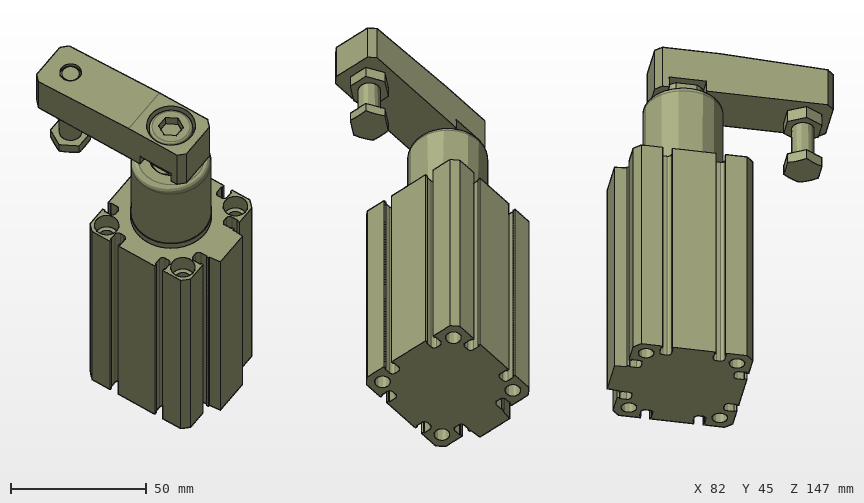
import cadquery as cq
import math


body_width = 45.0
body_height = 91.5
body_corner_diameter = 60.0
port_rib_end = 27.0
port_rib_root_width = 15.3
port_rib_tip_width = 14.4
slot_offset = 10.0
slot_width = 4.4
slot_mouth = 3.5
slot_lip = 1.0
slot_depth = 5.1
slot_corner = 1.5
mount_pitch = 34.1
mount_hole = 5.7
mount_bore = 9.0
mount_bore_depth = 7.0
collar_diameter = 30.0
collar_top = 94.2
cover_diameter = 29.5
cover_top = 127.0
cover_round = 2.5

arm_top = 147.0
arm_tip = -55.0
arm_heel = 12.0
arm_width = 20.0
arm_thickness = 18.0
arm_tip_drop = 1.9
arm_slope_start = -12.0
arm_chamfer = 2.5
seat_depth = 4.5
screw_bore = 18.0
screw_bore_depth = 10.6
screw_clearance = 10.5

rod_diameter = 16.0
rod_flats = 14.0
rod_flat_runout = (rod_diameter - rod_flats) / 2
screw_head = 16.0
screw_head_height = 10.0
screw_head_round = 1.0
screw_shank = 10.0
screw_socket = 8.0
screw_socket_depth = 3.8

bolt_x = -45.0
bolt_shank = 8.4
bolt_thread = 8.0
bolt_tip_chamfer = 0.7
bolt_recess = 0.7
hex_flats = 13.0
nut_height = 5.0
bolt_head_top = 109.2
bolt_bottom = 104.0
bolt_crown_radius = 22.0

arm_bottom = arm_top - arm_thickness
seat_level = arm_bottom + seat_depth
screw_seat_level = arm_top - screw_bore_depth
bolt_arm_top = arm_top - arm_tip_drop * (arm_slope_start - bolt_x) / (arm_slope_start - arm_tip)


def cylinder(diameter, bottom, top, x=0):
    return cq.Workplane("XY", origin=(x, 0, bottom)).circle(diameter / 2).extrude(top - bottom)


def hexagon(flats, bottom, top, x=0):
    """Hexagonal prism, sized across its flats, with two corners on the Y direction."""
    corners = flats / math.cos(math.pi / 6)
    prism = cq.Workplane("XY").polygon(6, corners).extrude(top - bottom)
    return prism.rotate((0, 0, 0), (0, 0, 1), 30).translate((x, 0, bottom))


def side_slot(offset):
    """Lipped slot in the +X side of the body, running its full height."""
    face = body_width / 2
    pocket_length = slot_depth - slot_lip
    pocket = (
        cq.Workplane("XY")
        .center(face - slot_depth + pocket_length / 2, offset)
        .rect(pocket_length, slot_width)
        .extrude(body_height)
        .edges("|Z and <X")
        .fillet(slot_corner)
    )
    mouth = (
        cq.Workplane("XY")
        .center(face - slot_lip / 2, offset)
        .rect(slot_lip, slot_mouth)
        .extrude(body_height)
    )
    return pocket.union(mouth)


def make_port_rib():
    """Tapered rib along the +X side of the body, with its root sunk into the body."""
    face = body_width / 2
    half_root = port_rib_root_width / 2
    half_tip = port_rib_tip_width / 2
    return (
        cq.Workplane("XY")
        .moveTo(0, -half_root)
        .lineTo(face, -half_root)
        .lineTo(port_rib_end, -half_tip)
        .lineTo(port_rib_end, half_tip)
        .lineTo(face, half_root)
        .lineTo(0, half_root)
        .close()
        .extrude(body_height)
    )


def make_housing():
    body = cq.Workplane("XY").rect(body_width, body_width).extrude(body_height)
    body = body.intersect(cylinder(body_corner_diameter, 0, body_height))
    body = body.union(make_port_rib())
    for side in range(4):
        for offset in (-slot_offset, slot_offset):
            body = body.cut(side_slot(offset).rotate((0, 0, 0), (0, 0, 1), 90 * side))
    body = (
        body.faces(">Z")
        .workplane(origin=(0, 0, 0))
        .rect(mount_pitch, mount_pitch, forConstruction=True)
        .vertices()
        .cboreHole(mount_hole, mount_bore, mount_bore_depth)
    )
    collar = cylinder(collar_diameter, body_height, collar_top)
    cover = cylinder(cover_diameter, collar_top, cover_top).faces(">Z").edges().fillet(cover_round)
    return body.union(collar).union(cover).cut(cylinder(rod_diameter, body_height, cover_top))


def make_rod():
    shaft = cylinder(rod_diameter, body_height, seat_level)
    half_flats = rod_flats / 2
    flat_end = cover_top + rod_flat_runout
    flat_cut = (
        cq.Workplane("XZ")
        .moveTo(half_flats, seat_level)
        .lineTo(half_flats, flat_end)
        .lineTo(half_flats + rod_flat_runout, cover_top)
        .lineTo(rod_diameter, cover_top)
        .lineTo(rod_diameter, seat_level)
        .close()
        .extrude(rod_diameter / 2, both=True)
    )
    for side in range(4):
        shaft = shaft.cut(flat_cut.rotate((0, 0, 0), (0, 0, 1), 90 * side))
    head_top = screw_seat_level + screw_head_height
    shank = cylinder(screw_shank, seat_level, screw_seat_level)
    head = cylinder(screw_head, screw_seat_level, head_top).faces(">Z").edges().fillet(screw_head_round)
    socket = hexagon(screw_socket, head_top - screw_socket_depth, head_top)
    return shaft.union(shank).union(head).cut(socket)


def make_arm():
    arm = (
        cq.Workplane("XZ")
        .moveTo(arm_tip, arm_bottom)
        .lineTo(arm_heel, arm_bottom)
        .lineTo(arm_heel, arm_top)
        .lineTo(arm_slope_start, arm_top)
        .lineTo(arm_tip, arm_top - arm_tip_drop)
        .close()
        .extrude(arm_width / 2, both=True)
    )
    arm = arm.edges("|Z").chamfer(arm_chamfer)
    seat = cq.Workplane("XY", origin=(0, 0, arm_bottom)).rect(rod_flats, arm_width).extrude(seat_depth)
    arm = arm.cut(seat)
    arm = arm.cut(cylinder(screw_clearance, seat_level, arm_top))
    arm = arm.cut(cylinder(screw_bore, screw_seat_level, arm_top))
    return arm.cut(cylinder(bolt_thread, arm_bottom, arm_top, bolt_x))


def make_bolt():
    shank = cylinder(bolt_shank, bolt_head_top, arm_bottom, bolt_x)
    thread = cylinder(bolt_thread, arm_bottom, bolt_arm_top - bolt_recess, bolt_x)
    thread = thread.faces(">Z").chamfer(bolt_tip_chamfer)
    nut = hexagon(hex_flats, arm_bottom - nut_height, arm_bottom, bolt_x)
    crown = cq.Workplane("XY").sphere(bolt_crown_radius).translate((bolt_x, 0, bolt_bottom + bolt_crown_radius))
    head = hexagon(hex_flats, bolt_bottom, bolt_head_top, bolt_x).intersect(crown)
    return shank.union(thread).union(nut).union(head)


housing = make_housing()
rod = make_rod()
arm = make_arm()
bolt = make_bolt()

result = cq.Compound.makeCompound([housing.val(), rod.val(), arm.val(), bolt.val()])